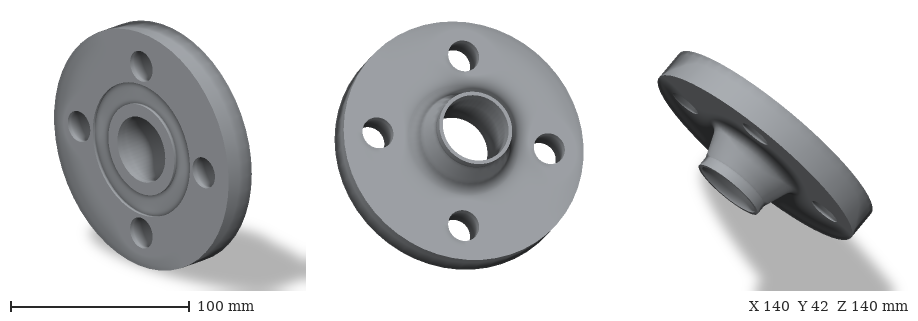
import cadquery as cq

flange_diameter = 140.0
flange_thickness = 18.0
total_height = 42.0
bore_diameter = 38.4

neck_diameter = 42.5
neck_length = 6.0
hub_base_diameter = 56.0
root_fillet_radius = 6.0

bolt_circle_diameter = 100.0
bolt_hole_diameter = 18.0
bolt_hole_count = 4

groove_outer_diameter = 78.0
groove_inner_diameter = 52.9
groove_depth = 2.0


def make_body():
    """Revolve the flange and its tapered hub about the Y axis, then round the hub root."""
    profile = (
        cq.Workplane("XY")
        .lineTo(flange_diameter / 2, 0)
        .lineTo(flange_diameter / 2, flange_thickness)
        .lineTo(hub_base_diameter / 2, flange_thickness)
        .lineTo(neck_diameter / 2, total_height - neck_length)
        .lineTo(neck_diameter / 2, total_height)
        .lineTo(0, total_height)
        .close()
    )
    body = profile.revolve(360, (0, 0, 0), (0, 1, 0))
    flange_back_edges = body.faces(">Y[-2]").edges("%CIRCLE")
    hub_root = flange_back_edges.sort(lambda edge: edge.radius()).first()
    return body.newObject(hub_root.vals()).fillet(root_fillet_radius)


def cylinder(diameter, length):
    """Cylinder from the front face into the part along +Y."""
    return cq.Workplane("XZ").circle(diameter / 2).extrude(-length)


groove = cylinder(groove_outer_diameter, groove_depth)
groove = groove.cut(cylinder(groove_inner_diameter, groove_depth))

bolt_holes = (
    cq.Workplane("XZ")
    .polarArray(bolt_circle_diameter / 2, 0, 360, bolt_hole_count)
    .circle(bolt_hole_diameter / 2)
    .extrude(-flange_thickness)
)

result = make_body().cut(cylinder(bore_diameter, total_height)).cut(groove).cut(bolt_holes)